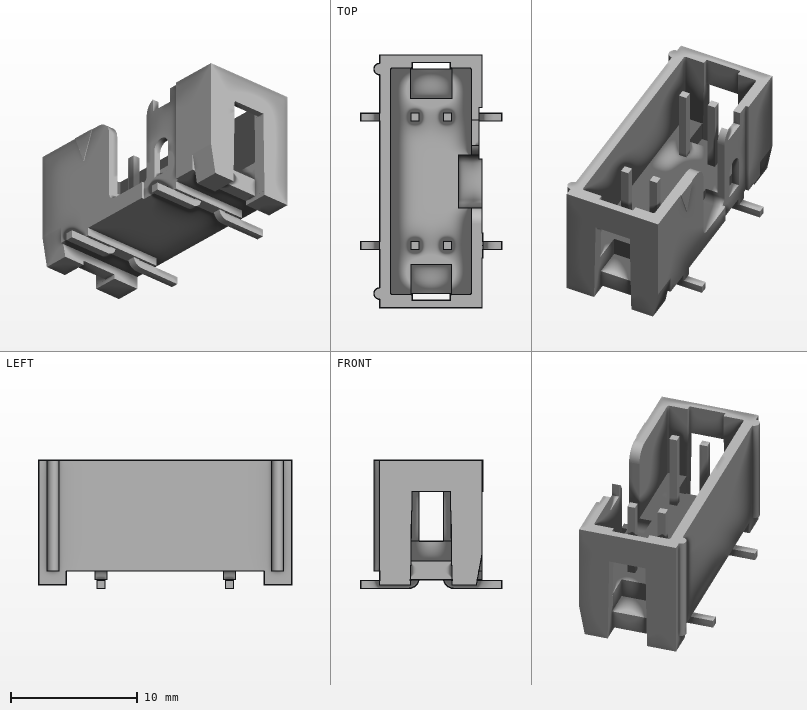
import cadquery as cq
import math


overall_length = 20.02
top_z = 10.16
foot_z = 0.30
side_bottom_z = 1.38
left_x = -4.08
right_x = 4.03
foot_length = 2.19
foot_taper_z = 2.80
foot_taper_depth = 0.46
end_y = overall_length / 2

side_wall = 0.86
end_wall = 1.04
cavity_corner_radius = 0.15
floor_z = 3.75
cavity_left_x = left_x + side_wall
cavity_right_x = right_x - side_wall
cavity_end_y = end_y - end_wall

window_top_z = 7.66
window_top_width = 3.03
window_bottom_width = 3.30
end_groove_width = 3.00
end_web = 0.61
floor_end_y = 8.89
floor_step_length = 2.32
floor_step_z = 2.17
floor_step_front_width = 3.22
floor_step_back_width = 3.32
end_bar_bottom_z = 0.68

slot_half_width = 2.09
slot_floor_z = 2.80
slot_floor_radius = 0.60
slot_inner_x = 2.15
slot_rim_radius = 1.25

latch_face_x = 3.78
latch_relief_start_y = 1.78
latch_relief_end_y = 5.84
latch_notch_z = 8.93
latch_tip_z = 10.01
latch_notch_end_y = 4.86
latch_tip_y = 2.82
latch_tip_arc_radius = 1.25
latch_hole_width = 1.62
latch_hole_y = 3.81
latch_hole_top_z = 6.05

rib_radius = 0.46
rib_y = 8.88

mark_width = 2.00
mark_height = 2.50
mark_thickness = 0.06

pin_size = 0.64
pin_x = 1.27
pin_y = 5.08
pin_top_z = 9.97
lead_span = 11.18
lead_end_x = lead_span / 2
bend_radius = 0.86
lead_pad_width = 0.98
lead_pad_bottom_z = 0.70


def box(x0, x1, y0, y1, z0, z1):
    """Box between two opposite corners."""
    return cq.Workplane("XY").box(x1 - x0, y1 - y0, z1 - z0, centered=False).translate((x0, y0, z0))


def side_plane(x):
    """Sketch plane facing +X, with local axes Y and Z."""
    return cq.Workplane("YZ", origin=(x, 0, 0))


def make_foot():
    """Full-width foot at the -Y end, tapered on its +X side."""
    return (
        cq.Workplane("XZ", origin=(0, -end_y, 0))
        .moveTo(left_x, foot_z)
        .lineTo(right_x - foot_taper_depth, foot_z)
        .lineTo(right_x, foot_taper_z)
        .lineTo(right_x, top_z)
        .lineTo(left_x, top_z)
        .close()
        .extrude(-foot_length)
    )


def make_shroud():
    """Outer block on two feet, hollowed down to the floor."""
    inner_y = end_y - foot_length
    foot = make_foot()
    shroud = box(left_x, right_x, -inner_y, inner_y, side_bottom_z, top_z)
    shroud = shroud.union(foot).union(foot.mirror("XZ"))
    cavity = box(cavity_left_x, cavity_right_x, -cavity_end_y, cavity_end_y, floor_z, top_z)
    return shroud.cut(cavity.edges("|Z").fillet(cavity_corner_radius))


def make_end_opening(step_width):
    """Material removed at the -Y end: window, inner groove, floor step and foot clearance."""
    window = (
        cq.Workplane("XZ", origin=(0, -end_y, 0))
        .moveTo(-window_bottom_width / 2, foot_z)
        .lineTo(window_bottom_width / 2, foot_z)
        .lineTo(window_top_width / 2, window_top_z)
        .lineTo(-window_top_width / 2, window_top_z)
        .close()
        .extrude(floor_end_y - end_y)
    )
    half_groove = end_groove_width / 2
    groove = box(-half_groove, half_groove, end_web - end_y, -floor_end_y, foot_z, top_z)
    half_step = step_width / 2
    step_end_y = floor_step_length - floor_end_y
    step = box(-half_step, half_step, -floor_end_y, step_end_y, floor_step_z, floor_z)
    half_bar = window_bottom_width / 2
    clearance = box(-half_bar, half_bar, -end_y, foot_length - end_y, foot_z, end_bar_bottom_z)
    return window.union(groove).union(step).union(clearance)


def make_keying_slot():
    """Slot through the +X wall and into the floor, with rounded bottom and -Y rim."""
    slot = box(slot_inner_x, right_x, -slot_half_width, slot_half_width, slot_floor_z, top_z)
    slot = slot.edges("|X and <Z").fillet(slot_floor_radius)
    rim_y = -slot_half_width - slot_rim_radius
    rim_z = top_z - slot_rim_radius
    arc_offset = slot_rim_radius * math.sqrt(0.5)
    rim = (
        side_plane(cavity_right_x)
        .moveTo(rim_y, top_z)
        .threePointArc((rim_y + arc_offset, rim_z + arc_offset), (-slot_half_width, rim_z))
        .lineTo(-slot_half_width, top_z)
        .close()
        .extrude(side_wall)
    )
    return slot.union(rim)


def make_latch_cuts():
    """Outer relief, top notch, rounded tip and arched hole that shape the latch beam."""
    relief = box(latch_face_x, right_x, latch_relief_start_y, latch_relief_end_y, foot_z, top_z)
    notch = box(cavity_right_x, right_x, latch_tip_y, latch_notch_end_y, latch_notch_z, top_z)
    tip_corner = (
        side_plane(cavity_right_x)
        .moveTo(latch_tip_y, top_z)
        .lineTo(latch_tip_y, latch_tip_z)
        .radiusArc((slot_half_width, latch_notch_z), -latch_tip_arc_radius)
        .lineTo(slot_half_width, top_z)
        .close()
        .extrude(side_wall)
    )
    hole_radius = latch_hole_width / 2
    spring_z = latch_hole_top_z - hole_radius
    hole = (
        side_plane(cavity_right_x)
        .moveTo(latch_hole_y - hole_radius, slot_floor_z)
        .lineTo(latch_hole_y - hole_radius, spring_z)
        .threePointArc((latch_hole_y, latch_hole_top_z), (latch_hole_y + hole_radius, spring_z))
        .lineTo(latch_hole_y + hole_radius, slot_floor_z)
        .close()
        .extrude(side_wall)
    )
    return relief.union(notch).union(tip_corner).union(hole)


def make_rib(y):
    """Round guide rib half sunk in the -X wall."""
    return (
        cq.Workplane("XY", origin=(left_x, y, side_bottom_z))
        .circle(rib_radius)
        .extrude(top_z - side_bottom_z)
    )


def make_pin_one_mark():
    """Raised triangle pointing down at the -Y pin row."""
    return (
        side_plane(right_x)
        .moveTo(-pin_y - mark_width / 2, top_z)
        .lineTo(-pin_y + mark_width / 2, top_z)
        .lineTo(-pin_y, top_z - mark_height)
        .close()
        .extrude(mark_thickness)
    )


def make_pin(y):
    """Upright +X pin with its lead bent outward along +X."""
    inner_x = pin_x - pin_size / 2
    outer_x = pin_x + pin_size / 2
    bend_x = inner_x + bend_radius
    arc_offset = bend_radius * math.sqrt(0.5)
    return (
        cq.Workplane("XZ", origin=(0, y + pin_size / 2, 0))
        .moveTo(inner_x, pin_top_z)
        .lineTo(inner_x, bend_radius)
        .threePointArc((bend_x - arc_offset, bend_radius - arc_offset), (bend_x, 0))
        .lineTo(lead_end_x, 0)
        .lineTo(lead_end_x, pin_size)
        .lineTo(outer_x, pin_size)
        .lineTo(outer_x, pin_top_z)
        .close()
        .extrude(pin_size)
    )


def make_lead_pad(y):
    """Bar under the floor that backs one row of leads."""
    half_pad = lead_pad_width / 2
    return box(cavity_left_x, right_x, y - half_pad, y + half_pad, lead_pad_bottom_z, floor_z)


header = make_shroud()
for row_y in (-pin_y, pin_y):
    header = header.union(make_lead_pad(row_y))
header = header.cut(make_end_opening(floor_step_front_width))
header = header.cut(make_end_opening(floor_step_back_width).mirror("XZ"))
header = header.cut(make_keying_slot()).cut(make_latch_cuts())
header = header.union(make_pin_one_mark())

for end_rib_y in (-rib_y, rib_y):
    header = header.union(make_rib(end_rib_y))

for row_y in (-pin_y, pin_y):
    pin = make_pin(row_y)
    header = header.union(pin).union(pin.mirror("YZ"))

result = header